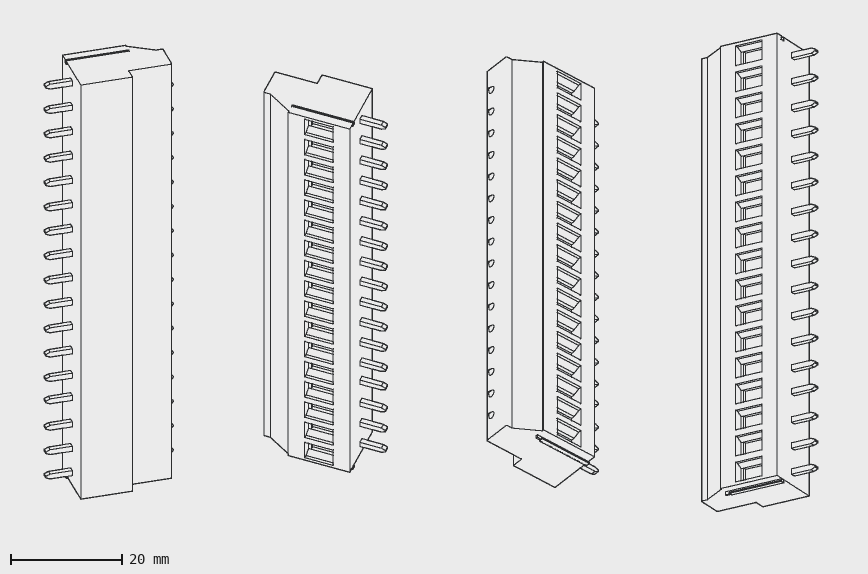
import cadquery as cq

pole_count = 17
total_height = 87.0
total_depth = 23.5
tongue_height = 0.6
body_height = total_height - tongue_height
body_bottom = tongue_height
pitch = body_height / pole_count
pole_heights = [body_bottom + (i + 0.5) * pitch for i in range(pole_count)]

body_width = 11.2
back_step_y = 9.7
back_step_x = 8.9
shoulder_y = 11.9
shoulder_ledge = 0.35
top_left_x = 3.2
slope_top_y = 16.6
body_depth = 17.9
top_edge_radius = 0.3

entry_low_y = 3.2
entry_high_y = 8.7
entry_height = 3.8
entry_lip = 0.6
funnel_depth = 1.9
bore_depth = 0.7
bore_height = 2.7
bore_ledge = 0.5

pin_x = 5.5
pin_size = 1.05
pin_length = 5.0
pin_tip_length = 0.8
pin_tip_height = 0.35
pin_embedding = 0.9
shifted_pin_index = 3
pin_shift = 0.4

stud_x = 7.5
stud_base_diameter = 1.4
stud_top_diameter = 0.3
stud_height = total_depth - pin_length - body_depth

joint_x = 1.9
joint_neck_width = 0.35
joint_head_width = 0.9
joint_flare = 0.65
joint_length = 11.0
groove_depth = 0.7


def make_housing():
    outline = [
        (0, 0),
        (body_width, 0),
        (body_width, back_step_y),
        (back_step_x, back_step_y),
        (back_step_x, body_depth),
        (top_left_x, body_depth),
        (top_left_x, slope_top_y),
        (shoulder_ledge, shoulder_y),
        (0, shoulder_y),
    ]
    housing = cq.Workplane("XY").workplane(offset=body_bottom).polyline(outline).close().extrude(body_height)
    return housing.faces(">Y").edges("|Z").fillet(top_edge_radius)


def make_entry(height):
    """Wire entry: short lip, funnel closing in Z, then a shallow bore with a ledge on its high-Y side."""
    half_entry = entry_height / 2
    half_bore = bore_height / 2
    funnel_outline = [
        (0, -half_entry),
        (entry_lip, -half_entry),
        (funnel_depth, -half_bore),
        (funnel_depth, half_bore),
        (entry_lip, half_entry),
        (0, half_entry),
    ]
    funnel = (
        cq.Workplane("XZ", origin=(0, entry_high_y, height))
        .polyline(funnel_outline)
        .close()
        .extrude(entry_high_y - entry_low_y)
    )
    bore = cq.Workplane("XY").box(
        funnel_depth + bore_depth,
        entry_high_y - bore_ledge - entry_low_y,
        bore_height,
        centered=(False, False, True),
    )
    return funnel.union(bore.translate((0, entry_low_y, height)))


def make_pin(height):
    """Square pin whose end narrows in Z only."""
    half_pin = pin_size / 2
    half_tip = pin_tip_height / 2
    taper_start = pin_tip_length - pin_length
    outline = [
        (pin_embedding, -half_pin),
        (taper_start, -half_pin),
        (-pin_length, -half_tip),
        (-pin_length, half_tip),
        (taper_start, half_pin),
        (pin_embedding, half_pin),
    ]
    return (
        cq.Workplane("YZ", origin=(pin_x - half_pin, 0, height))
        .polyline(outline)
        .close()
        .extrude(pin_size)
    )


def make_stud(height):
    return (
        cq.Workplane("XZ", origin=(stud_x, body_depth, height))
        .circle(stud_base_diameter / 2)
        .workplane(offset=-stud_height)
        .circle(stud_top_diameter / 2)
        .loft()
    )


def make_dovetail(top, depth, length):
    """Bar along Y that hangs below the given height, narrow at the top and wide at the bottom."""
    half_neck = joint_neck_width / 2
    half_head = joint_head_width / 2
    shoulder = top - joint_flare * depth
    outline = [
        (joint_x - half_neck, top),
        (joint_x - half_head, shoulder),
        (joint_x - half_head, top - depth),
        (joint_x + half_head, top - depth),
        (joint_x + half_head, shoulder),
        (joint_x + half_neck, top),
    ]
    return cq.Workplane("XZ").polyline(outline).close().extrude(-length)


def make_tongue():
    """Dovetail with a plain bar as wide as its neck at the far end."""
    lead = cq.Workplane("XY").box(joint_neck_width, shoulder_y, tongue_height, centered=(True, False, False))
    return make_dovetail(body_bottom, tongue_height, joint_length).union(lead.translate((joint_x, 0, 0)))


result = make_housing().union(make_tongue())
result = result.cut(make_dovetail(total_height, groove_depth, shoulder_y))

for pole_height in pole_heights:
    result = result.cut(make_entry(pole_height))

for index, pole_height in enumerate(pole_heights):
    offset = pin_shift if index == shifted_pin_index else 0
    result = result.union(make_pin(pole_height + offset))

for pole_height in pole_heights[:-1]:
    result = result.union(make_stud(pole_height + pitch / 2))